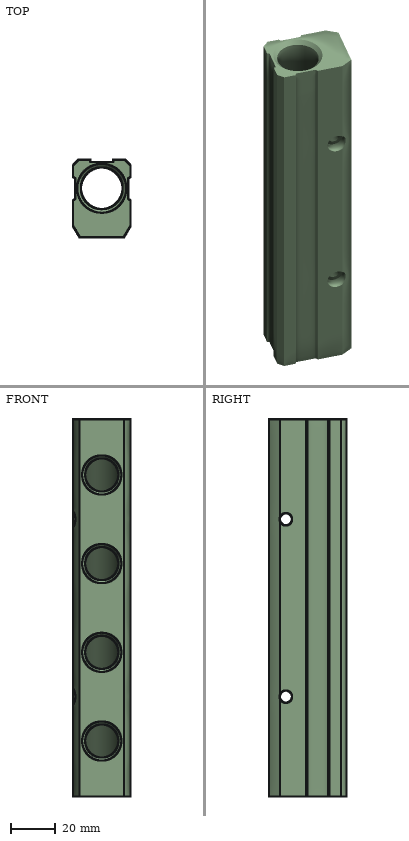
import cadquery as cq

WIDTH = 26.0
DEPTH = 35.0
LENGTH = 170.0

FRONT_CHAMFER_X = 3.0
FRONT_CHAMFER_Y = 5.1
BACK_CHAMFER = 2.5
GROOVE_DEPTH = 1.0
GROOVE_SLOPE = 0.7
BACK_GROOVE_WIDTH = 10.2
SIDE_GROOVE_START = 7.8
SIDE_GROOVE_END = 18.4

BORE_DIAMETER = 18.7
BORE_CHAMFER = 1.7
BORE_Y = -13.0

PORT_COUNT = 4
PORT_PITCH = 40.0
PORT_DIAMETER = 15.0
PORT_CHAMFER = 1.4

MOUNT_PITCH = 2 * PORT_PITCH
MOUNT_DIAMETER = 5.5
COUNTERBORE_DIAMETER = 8.8
COUNTERBORE_DEPTH = 5.1
MOUNT_FRONT_OFFSET = 7.6


def make_bar():
    """Extrude the symmetric section with its chamfers and shallow grooves."""
    side = WIDTH / 2
    groove_half = BACK_GROOVE_WIDTH / 2
    right_half = [
        (groove_half, -GROOVE_DEPTH),
        (groove_half, 0),
        (side - BACK_CHAMFER, 0),
        (side, -BACK_CHAMFER),
        (side, -SIDE_GROOVE_START),
        (side - GROOVE_DEPTH, -SIDE_GROOVE_START - GROOVE_SLOPE),
        (side - GROOVE_DEPTH, -SIDE_GROOVE_END + GROOVE_SLOPE),
        (side, -SIDE_GROOVE_END),
        (side, -DEPTH + FRONT_CHAMFER_Y),
        (side - FRONT_CHAMFER_X, -DEPTH),
    ]
    left_half = [(-x, y) for x, y in reversed(right_half)]
    section = cq.Workplane("XY").polyline(right_half + left_half).close()
    return section.extrude(LENGTH / 2, both=True)


def entry_cone(radius, chamfer, mouth, inward):
    """Conical cutter for a 45 degree chamfer at the mouth of a hole."""
    return cq.Workplane(cq.Solid.makeCone(radius + chamfer, radius, chamfer, mouth, inward))


def cut_bore(body):
    radius = BORE_DIAMETER / 2
    bore = cq.Workplane("XY").center(0, BORE_Y).circle(radius).extrude(LENGTH / 2, both=True)
    body = body.cut(bore)
    for end in (-1, 1):
        mouth = cq.Vector(0, BORE_Y, end * LENGTH / 2)
        inward = cq.Vector(0, 0, -end)
        body = body.cut(entry_cone(radius, BORE_CHAMFER, mouth, inward))
    return body


def cut_port(body, z):
    """Cut a chamfered port from the front face to the centre of the main bore."""
    radius = PORT_DIAMETER / 2
    mouth = cq.Vector(0, -DEPTH, z)
    inward = cq.Vector(0, 1, 0)
    drill = cq.Solid.makeCylinder(radius, DEPTH + BORE_Y, mouth, inward)
    body = body.cut(cq.Workplane(drill))
    return body.cut(entry_cone(radius, PORT_CHAMFER, mouth, inward))


def cut_mounting_hole(body, z):
    mouth = cq.Vector(-WIDTH / 2, -DEPTH + MOUNT_FRONT_OFFSET, z)
    inward = cq.Vector(1, 0, 0)
    drill = cq.Solid.makeCylinder(MOUNT_DIAMETER / 2, WIDTH, mouth, inward)
    counterbore = cq.Solid.makeCylinder(COUNTERBORE_DIAMETER / 2, COUNTERBORE_DEPTH, mouth, inward)
    return body.cut(cq.Workplane(drill)).cut(cq.Workplane(counterbore))


result = cut_bore(make_bar())

for index in range(PORT_COUNT):
    result = cut_port(result, (index - (PORT_COUNT - 1) / 2) * PORT_PITCH)

for mount_z in (-MOUNT_PITCH / 2, MOUNT_PITCH / 2):
    result = cut_mounting_hole(result, mount_z)